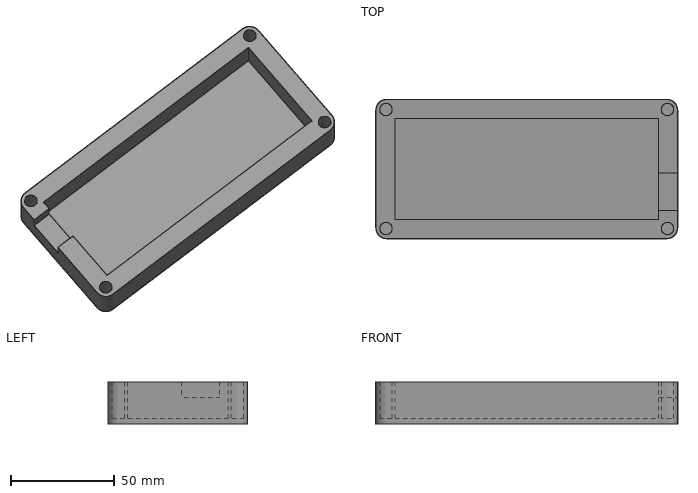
import cadquery as cq

length = 146.2
width = 67.5
height = 20.5
corner_radius = 5.4

wall = 9.4
cavity_depth = 17.7

hole_diameter = 6.0
hole_inset = 5.0
hole_depth = cavity_depth

notch_width = 18.3
notch_center_y = -11.0
notch_depth = 7.5


def make_block():
    """Outer block with rounded vertical corners."""
    block = cq.Workplane("XY").box(length, width, height, centered=(True, True, False))
    return block.edges("|Z").fillet(corner_radius)


def make_cavity():
    """Volume of the cavity, from the floor up to the rim."""
    floor_z = height - cavity_depth
    return (
        cq.Workplane("XY")
        .workplane(offset=floor_z)
        .rect(length - 2 * wall, width - 2 * wall)
        .extrude(cavity_depth)
    )


def make_holes():
    """Volumes of the four corner holes, from their bottoms up to the rim."""
    return (
        cq.Workplane("XY")
        .workplane(offset=height - hole_depth)
        .rect(length - 2 * hole_inset, width - 2 * hole_inset, forConstruction=True)
        .vertices()
        .circle(hole_diameter / 2)
        .extrude(hole_depth)
    )


def make_notch():
    """Volume of the notch, as long as the +X wall is thick."""
    notch_center_x = (length - wall) / 2
    return (
        cq.Workplane("XY")
        .workplane(offset=height - notch_depth)
        .center(notch_center_x, notch_center_y)
        .rect(wall, notch_width)
        .extrude(notch_depth)
    )


def make_housing():
    return make_block().cut(make_cavity()).cut(make_holes()).cut(make_notch())


housing = make_housing().solids()

result = cq.Compound.makeCompound([housing.val()])